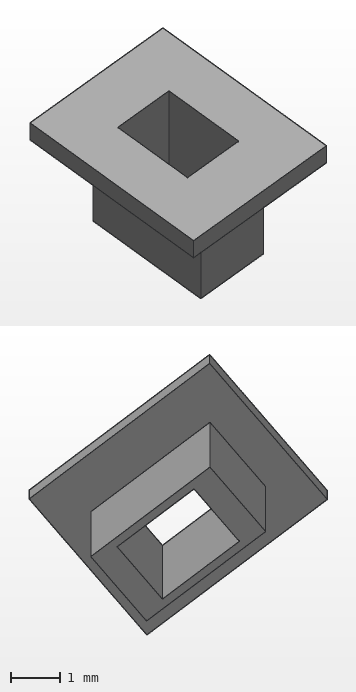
import cadquery as cq

flange_length = 4.7
flange_width = 3.8
flange_thickness = 0.5

total_height = 3.0
sleeve_length = 3.1
sleeve_width = 1.8
sleeve_height = total_height - flange_thickness

passage_length = 2.0
passage_width = 1.46

sleeve = cq.Workplane("XY").rect(sleeve_length, sleeve_width).extrude(sleeve_height)
flange = (
    cq.Workplane("XY", origin=(0, 0, sleeve_height))
    .rect(flange_length, flange_width)
    .extrude(flange_thickness)
)
passage = cq.Workplane("XY").rect(passage_length, passage_width).extrude(total_height)

result = sleeve.union(flange).cut(passage)